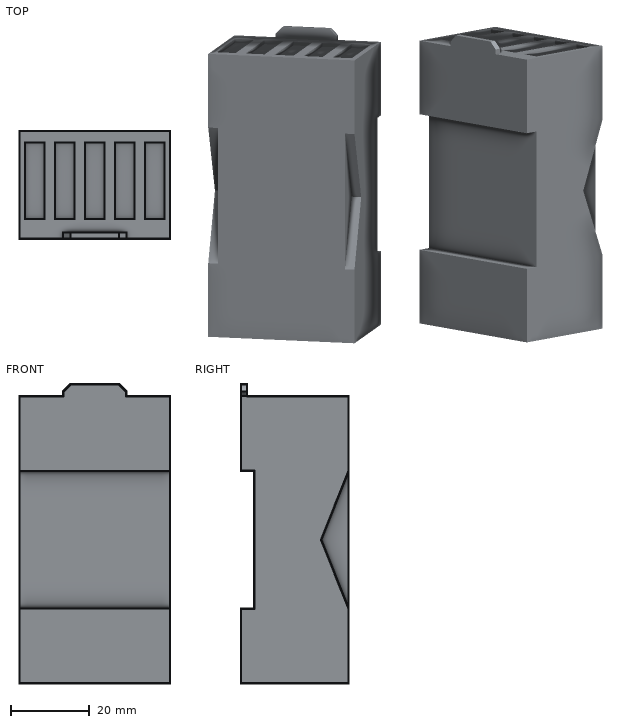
import cadquery as cq

width = 38.3
depth = 27.4
body_height = 73.0

channel_height = 35.0
channel_depth = 3.4

recess_apex_depth = 7.0
recess_thickness = 2.5

pocket_count = 5
pocket_width = 5.0
pocket_pitch = 7.6
pocket_front_margin = 5.0
pocket_back_margin = 2.9
pocket_depth = 1.0

tab_width = 16.0
tab_height = 3.0
tab_thickness = 1.6
tab_chamfer = 1.8

front_y = -depth / 2
back_y = depth / 2
top_z = body_height / 2


def make_body():
    return cq.Workplane("XY").box(width, depth, body_height)


def make_channel():
    return cq.Workplane("XY").box(width, 2 * channel_depth, channel_height).translate((0, front_y, 0))


def make_side_recess(start_x):
    """V-shaped wedge, as tall as the channel, extruded toward +X from start_x."""
    return (
        cq.Workplane("YZ", origin=(start_x, 0, 0))
        .moveTo(back_y, -channel_height / 2)
        .lineTo(back_y - recess_apex_depth, 0)
        .lineTo(back_y, channel_height / 2)
        .close()
        .extrude(recess_thickness)
    )


def make_top_pockets():
    length = depth - pocket_front_margin - pocket_back_margin
    center_y = (pocket_front_margin - pocket_back_margin) / 2
    return (
        cq.Workplane("XY", origin=(0, center_y, top_z))
        .rarray(pocket_pitch, 1, pocket_count, 1)
        .rect(pocket_width, length)
        .extrude(-pocket_depth)
    )


def make_tab():
    return (
        cq.Workplane("XY", origin=(0, front_y + tab_thickness / 2, top_z))
        .rect(tab_width, tab_thickness)
        .extrude(tab_height)
        .faces(">Z")
        .edges("|Y")
        .chamfer(tab_chamfer)
    )


result = make_body().cut(make_channel())
for recess_start_x in (-width / 2, width / 2 - recess_thickness):
    result = result.cut(make_side_recess(recess_start_x))
result = result.cut(make_top_pockets()).union(make_tab())